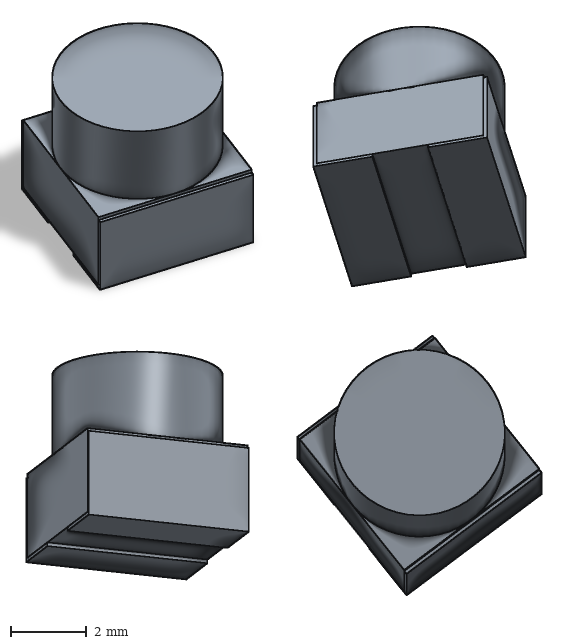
import cadquery as cq

overall_length = 4.7
overall_height = 4.7
body_width = 4.5
terminal_reach = 1.6

terminal_thickness = (overall_length - body_width) / 2
base_height = (overall_height - terminal_thickness) / 2
cap_height = base_height
base_bottom = terminal_thickness
base_top = base_bottom + base_height
terminal_top = base_top - terminal_thickness


def make_base():
    """Square block that carries the cap and the terminals."""
    return (
        cq.Workplane("XY")
        .workplane(offset=base_bottom)
        .rect(body_width, body_width)
        .extrude(base_height)
    )


def make_cap():
    """Round cap standing on the base."""
    return (
        cq.Workplane("XY")
        .workplane(offset=base_top)
        .circle(body_width / 2)
        .extrude(cap_height)
    )


def make_terminal(side):
    """L-shaped terminal: a plate up the base side and a foot beneath it; side is -1 or 1."""
    outer_x = side * overall_length / 2
    inner_x = side * body_width / 2
    foot_end_x = side * (overall_length / 2 - terminal_reach)
    profile = [
        (outer_x, 0),
        (outer_x, terminal_top),
        (inner_x, terminal_top),
        (inner_x, base_bottom),
        (foot_end_x, base_bottom),
        (foot_end_x, 0),
    ]
    return cq.Workplane("XZ").polyline(profile).close().extrude(body_width / 2, both=True)


base = make_base()
cap = make_cap()
terminals = [make_terminal(side) for side in (-1, 1)]

result = cq.Compound.makeCompound(
    [base.val(), cap.val(), *[terminal.val() for terminal in terminals]]
)